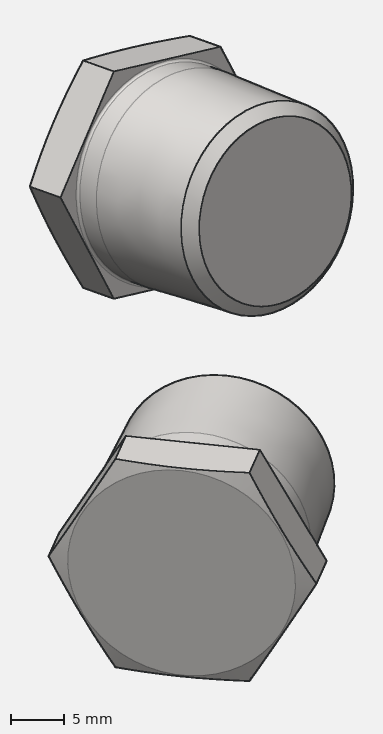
import cadquery as cq
import math

corner_width = 25.4
head_length = 5.05
head_face_diameter = 21.6
head_chamfer_angle = 15.0

total_length = 21.0
collar_diameter = 21.25
collar_end = 7.75
root_fillet_radius = 0.25
thread_taper = 1 / 16
tip_chamfer_length = 1.2


def hex_head():
    """Hexagonal prism whose outer corners are trimmed by a shallow cone."""
    prism = (
        cq.Workplane("YZ")
        .polygon(6, corner_width)
        .extrude(head_length)
    )
    face_radius = head_face_diameter / 2
    corner_radius = corner_width / 2
    chamfer_depth = (corner_radius - face_radius) * math.tan(math.radians(head_chamfer_angle))
    envelope = (
        cq.Workplane("XZ")
        .moveTo(0, 0)
        .lineTo(0, face_radius)
        .lineTo(chamfer_depth, corner_radius)
        .lineTo(head_length, corner_radius)
        .lineTo(head_length, 0)
        .close()
        .revolve(360, (0, 0, 0), (1, 0, 0))
    )
    return prism.intersect(envelope)


def shank():
    """Straight collar, tapered body and chamfered tip, filleted into the head."""
    collar_radius = collar_diameter / 2
    taper_end = total_length - tip_chamfer_length
    tip_radius = collar_radius - thread_taper * (taper_end - collar_end) / 2
    fillet_end = head_length + root_fillet_radius
    fillet_top = collar_radius + root_fillet_radius
    arc_reach = root_fillet_radius * (1 - math.sqrt(0.5))
    return (
        cq.Workplane("XZ")
        .moveTo(head_length, 0)
        .lineTo(head_length, fillet_top)
        .threePointArc((head_length + arc_reach, collar_radius + arc_reach), (fillet_end, collar_radius))
        .lineTo(collar_end, collar_radius)
        .lineTo(taper_end, tip_radius)
        .lineTo(total_length, tip_radius - tip_chamfer_length)
        .lineTo(total_length, 0)
        .close()
        .revolve(360, (0, 0, 0), (1, 0, 0))
    )


result = hex_head().union(shank())